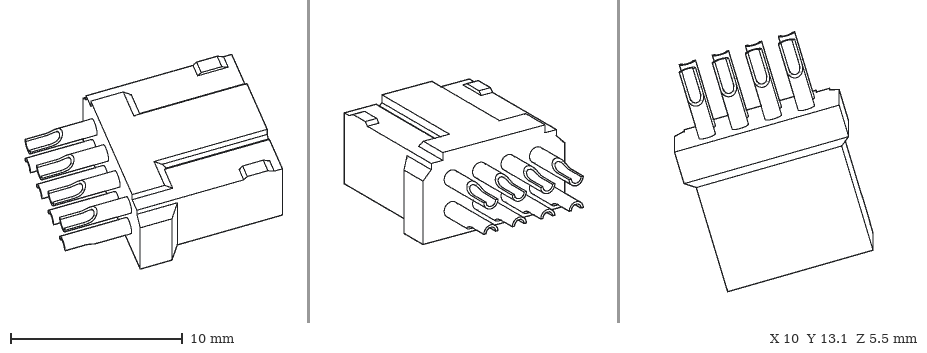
import cadquery as cq
import math


total_length = 13.1
housing_length = 9.0
housing_width = 8.83
total_height = 5.5
step = 0.5
ledge_z = total_height - step

flange_width = 10.0
flange_length = 2.5
flange_side = (flange_width - housing_width) / 2
flange_taper = 0.54
flange_top_z = 4.61

block_front_width = 7.2
block_stem_width = 3.52

groove_depth = 0.2

tab_height = 0.22
tab_back_gap = 0.51
tab_back_ramp = 0.39
tab_length = 1.89

pin_columns = 4
pin_pitch = 2.0
pin_diameter = 1.0
bore_diameter = 0.67
lower_row_z = 1.74
pin_length = total_length - housing_length
full_round_length = 1.99
cup_fillet = 1.0


def make_housing():
    """Plain body up to the ledge level."""
    height = ledge_z - step
    return (
        cq.Workplane("XY")
        .box(housing_width, housing_length, height, centered=(True, False, False))
        .translate((0, 0, step))
    )


def make_flange():
    """Front flange with 45-degree shoulders, tapering at the back onto the housing."""
    half_flange = flange_width / 2
    half_housing = housing_width / 2
    front_profile = [
        (-half_flange, 0),
        (half_flange, 0),
        (half_flange, flange_top_z - flange_side),
        (half_housing, flange_top_z),
        (-half_housing, flange_top_z),
        (-half_flange, flange_top_z - flange_side),
    ]
    flange = cq.Workplane("XZ").polyline(front_profile).close().extrude(-flange_length)

    taper_start = flange_length - flange_taper
    top_outline = [
        (-half_flange, 0),
        (half_flange, 0),
        (half_flange, taper_start),
        (half_housing, flange_length),
        (-half_housing, flange_length),
        (-half_flange, taper_start),
    ]
    side_outline = [
        (0, 0),
        (taper_start, 0),
        (flange_length, step),
        (flange_length, flange_top_z),
        (0, flange_top_z),
    ]
    side_taper = cq.Workplane("XY").polyline(top_outline).close().extrude(flange_top_z)
    bottom_taper = cq.Workplane("YZ").polyline(side_outline).close().extrude(half_flange, both=True)
    return flange.intersect(side_taper).intersect(bottom_taper)


def make_top_block():
    """T-shaped block: a wide front bar with a 45-degree back, and a stem to the mating face."""
    bar_profile = [
        (0, ledge_z),
        (flange_length, ledge_z),
        (flange_length - step, total_height),
        (0, total_height),
    ]
    bar = cq.Workplane("YZ").polyline(bar_profile).close().extrude(block_front_width / 2, both=True)
    stem = (
        cq.Workplane("XY", origin=(0, 0, ledge_z))
        .box(block_stem_width, housing_length, step, centered=(True, False, False))
    )
    return bar.union(stem)


def make_groove(side):
    """V groove in the ledge along one side of the stem, ending on the slope of the bar's back."""
    stem_edge = block_stem_width / 2
    groove_profile = [
        (side * stem_edge, ledge_z),
        (side * (stem_edge + groove_depth), ledge_z - groove_depth),
        (side * (stem_edge + 2 * groove_depth), ledge_z),
    ]
    groove = (
        cq.Workplane("XZ", origin=(0, flange_length, 0))
        .polyline(groove_profile)
        .close()
        .extrude(-(housing_length - flange_length))
    )
    end_slope_profile = [
        (flange_length, ledge_z),
        (flange_length, ledge_z - groove_depth),
        (flange_length + groove_depth, ledge_z - groove_depth),
    ]
    end_slope = cq.Workplane("YZ").polyline(end_slope_profile).close().extrude(side * housing_width / 2)
    return groove.cut(end_slope)


def make_tab(side):
    """Locking tab with a long back ramp and a 45-degree front ramp."""
    back = housing_length - tab_back_gap
    front = back - tab_length
    tab_profile = [
        (front, ledge_z),
        (back, ledge_z),
        (back - tab_back_ramp, ledge_z + tab_height),
        (front + tab_height, ledge_z + tab_height),
    ]
    tab_width = (housing_width - block_front_width) / 2
    inner_x = side * block_front_width / 2
    return (
        cq.Workplane("YZ", origin=(inner_x, 0, 0))
        .polyline(tab_profile)
        .close()
        .extrude(side * tab_width)
    )


def make_pin():
    """Solder-cup pin on the Y axis, its cup open towards +Z and bored as far as the housing."""
    radius = pin_diameter / 2
    pin = cq.Workplane("XZ").circle(radius).extrude(pin_length)
    bore = cq.Workplane("XZ").circle(bore_diameter / 2).extrude(pin_length)

    corner_y = full_round_length + radius
    slope_angle = math.radians(45)
    half_angle = slope_angle / 2
    tangent_length = cup_fillet * math.tan(half_angle)
    slope_tangent = tangent_length * math.cos(slope_angle)
    arc_end_y = corner_y + tangent_length
    arc_middle = (
        -(arc_end_y - cup_fillet * math.sin(half_angle)),
        cup_fillet * (1 - math.cos(half_angle)),
    )
    opening = (
        cq.Workplane("YZ")
        .moveTo(-full_round_length, radius)
        .lineTo(-(corner_y - slope_tangent), slope_tangent)
        .threePointArc(arc_middle, (-arc_end_y, 0))
        .lineTo(-pin_length, 0)
        .lineTo(-pin_length, radius)
        .close()
        .extrude(radius, both=True)
    )
    return pin.cut(bore).cut(opening)


result = make_housing().union(make_flange()).union(make_top_block())
for side in (-1, 1):
    result = result.cut(make_groove(side)).union(make_tab(side))

upper_pin = make_pin()
lower_pin = upper_pin.mirror("XY")
for column in range(pin_columns):
    pin_x = (column - (pin_columns - 1) / 2) * pin_pitch
    result = result.union(upper_pin.translate((pin_x, 0, lower_row_z + pin_pitch)))
    result = result.union(lower_pin.translate((pin_x, 0, lower_row_z)))